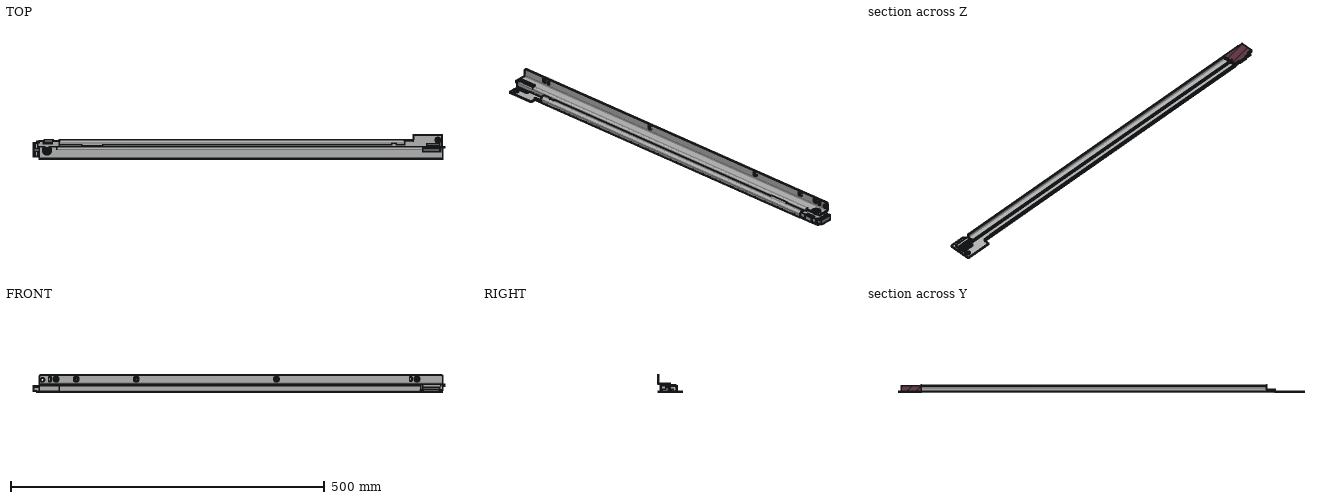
import cadquery as cq

length = 656.5
depth = 39.5
height = 27.5
sheet = 2.0

rail_start = 9.0
rail_end = 654.0
flange_bend = 2.5
flange_corner = 3.0
deck_top = 14.5
deck_bottom = deck_top - sheet
deck_width = 20.5
leg_start = 37.5
leg_bottom = 3.0
leg_bend = 4.0
leg_inner_face = deck_width - sheet
end_nub_bottom = 10.0

hole_height = 21.0
screw_hole_places = (36.0, 68.0, 164.0, 388.0, 612.5)
screw_hole_diameter = 4.0
countersink_diameter = 8.5
end_hole_place = 14.5
end_hole_height = 20.0
end_hole_diameter = 6.0
slot_width = 3.0
slots = ((26.0, 8.0), (603.0, 6.5))
boss_x = 21.5
boss_y = 14.5
boss_hole_diameter = 14.0
window_start = 622.0
window_end = 651.0
window_front = 12.5

channel_front = 4.0
channel_back = 31.5
channel_start = 41.5
channel_end = 618.5
channel_bend = 2.5
front_wall_top = 10.5
lip_top = 12.0
lip_bend = 4.5
lip_edge = 23.5
back_wall_end = 593.0
low_wall_top = 4.5
lip_tab_start = 77.0
lip_tab_end = 111.0
lip_tab_edge = 21.5
lip_notch_start = 572.0
lip_notch_end = 579.0
lip_notch_depth = 2.0
tongue_start = 5.0
foot_front = 0.5
foot_corner = 6.5
tab_start = 607.0
tab_end = 653.0
tab_hole_x = 646.0
tab_hole_y = 31.0
lug_back = 17.0
lug_steps = ((7.0, 4.5), (13.0, 8.0))
lug_end = 649.0
rear_lug_start = 628.5
rear_lug_front = 21.5
rear_lug_back = 25.0

stop_top = 10.5
stop_back = 29.5
nose_length = 9.0
nose_front = 4.5
nose_back = 26.0
groove_start = 3.0
groove_width = 3.0
groove_depth = 2.5
groove_rib = 4.0
back_pad_start = 17.0
back_pad_end = 31.5
pocket_start = 16.0
pocket_end = 30.0
pocket_front = 25.0
pocket_back = 27.5
pocket_depth = 2.5
boss_diameter = 9.0
boss_bore_diameter = 4.0


def box(x0, x1, y0, y1, z0, z1):
    """Block between two opposite corners."""
    return cq.Workplane("XY").box(x1 - x0, y1 - y0, z1 - z0, centered=False).translate((x0, y0, z0))


def post(x, y, diameter, z0, z1):
    """Upright round post."""
    return cq.Workplane("XY", origin=(x, y, z0)).circle(diameter / 2).extrude(z1 - z0)


def countersunk_hole(inner_face, outward):
    """Conical hole through one sheet, widening from its inner face to its outer face."""
    cone = cq.Solid.makeCone(
        screw_hole_diameter / 2, countersink_diameter / 2, sheet, cq.Vector(inner_face), cq.Vector(outward)
    )
    return cq.Workplane(cone)


def make_flange_and_deck():
    angle = box(rail_start, rail_end, 0, deck_width, deck_bottom, height)
    angle = angle.edges("|X and <Y and <Z").fillet(flange_bend)
    inside = box(rail_start, rail_end, sheet, deck_width, deck_top, height)
    inside = inside.edges("|X and <Y and <Z").fillet(flange_bend - sheet)
    return angle.cut(inside).edges("|Y and >Z").fillet(flange_corner)


def make_leg():
    root = deck_width - 2 * leg_bend
    leg = box(leg_start, rail_end, root, deck_width, leg_bottom, deck_top)
    leg = leg.edges("|X and >Y and >Z").fillet(leg_bend)
    inside = box(leg_start, rail_end, root, leg_inner_face, leg_bottom, deck_bottom)
    inside = inside.edges("|X and >Y and >Z").fillet(leg_bend - sheet)
    end_nub = box(rail_end, length, leg_inner_face, deck_width, end_nub_bottom, deck_bottom)
    return leg.cut(inside).union(end_nub)


def cut_flange_openings(rail):
    def flange_plane(x, z):
        return cq.Workplane("XZ", origin=(x, sheet, z))

    rail = rail.cut(flange_plane(end_hole_place, end_hole_height).circle(end_hole_diameter / 2).extrude(sheet))
    for x, slot_length in slots:
        rail = rail.cut(flange_plane(x, hole_height).slot2D(slot_length, slot_width, 90).extrude(sheet))
    for x in screw_hole_places:
        rail = rail.cut(countersunk_hole((x, sheet, hole_height), (0, -1, 0)))
    return rail


def make_fixing_rail():
    square_edge = box(leg_start, rail_end, deck_width - leg_bend, deck_width, deck_bottom, deck_top)
    rail = make_flange_and_deck().cut(square_edge).union(make_leg())
    boss_hole = post(boss_x, boss_y, boss_hole_diameter, deck_bottom, deck_top)
    window = box(window_start, window_end, window_front, leg_inner_face, leg_bottom, deck_top)
    return cut_flange_openings(rail.cut(boss_hole).cut(window))


def make_channel():
    channel = box(channel_start, channel_end, channel_front, channel_back, 0, lip_top)
    channel = channel.edges("|X and <Z").fillet(channel_bend)
    channel = channel.edges("|X and >Y and >Z").fillet(lip_bend)

    inner_front = channel_front + sheet
    inner_back = channel_back - sheet
    lip_bottom = lip_top - sheet
    hollow = box(channel_start, channel_end, inner_front, inner_back, sheet, lip_bottom)
    hollow = hollow.edges("|X and <Z").fillet(channel_bend - sheet)
    hollow = hollow.edges("|X and >Y and >Z").fillet(lip_bend - sheet)

    mouth = box(channel_start, channel_end, inner_front, lip_edge, lip_bottom, lip_top)
    above_front_wall = box(channel_start, channel_end, channel_front, inner_front, front_wall_top, lip_top)
    channel = channel.cut(hollow).cut(mouth).cut(above_front_wall)

    channel = channel.cut(box(back_wall_end, tab_start, lip_edge, channel_back, low_wall_top, lip_top))
    channel = channel.cut(box(tab_start, channel_end, lip_edge, channel_back, sheet, lip_top))

    notch = box(lip_notch_start, lip_notch_end, lip_edge, lip_edge + lip_notch_depth, lip_bottom, lip_top)
    lip_tab = box(lip_tab_start, lip_tab_end, lip_tab_edge, lip_edge, lip_bottom, lip_top)
    return channel.cut(notch).union(lip_tab)


def make_foot():
    foot = box(channel_end, tab_end, foot_front, channel_back, 0, sheet)
    foot = foot.edges("|Z and <Y and <X").chamfer(foot_corner)
    for step_front, step_top in lug_steps:
        foot = foot.union(box(window_start, lug_end, step_front, lug_back, 0, step_top))
    rear_lug_top = lug_steps[0][1]
    foot = foot.union(box(rear_lug_start, lug_end, rear_lug_front, rear_lug_back, 0, rear_lug_top))
    tab = box(tab_start, tab_end, lip_edge, depth, 0, sheet)
    tab_hole = countersunk_hole((tab_hole_x, tab_hole_y, 0), (0, 0, 1))
    return foot.union(tab).cut(tab_hole)


def make_running_rail():
    flat_front = channel_front + channel_bend
    flat_back = channel_back - channel_bend
    tongue = box(tongue_start, channel_start, flat_front, flat_back, 0, sheet)
    return make_channel().union(tongue).union(make_foot())


def make_end_stop():
    body = box(nose_length, channel_start, channel_front, stop_back, sheet, stop_top)
    back_pad = box(back_pad_start, back_pad_end, stop_back, channel_back, sheet, stop_top)
    nose = box(0, nose_length, nose_front, nose_back, sheet, stop_top)
    stop = body.union(back_pad).union(nose)

    groove_end = groove_start + groove_width
    groove_floor = stop_top - groove_depth
    nose_middle = (nose_front + nose_back) / 2
    rib_front = nose_middle - groove_rib / 2
    for y0, y1 in ((nose_front, rib_front), (rib_front + groove_rib, nose_back)):
        stop = stop.cut(box(groove_start, groove_end, y0, y1, groove_floor, stop_top))

    pocket = box(pocket_start, pocket_end, pocket_front, pocket_back, stop_top - pocket_depth, stop_top)
    leg_slot = box(leg_start, channel_start, leg_inner_face, deck_width, leg_bottom, stop_top)
    boss = post(boss_x, boss_y, boss_diameter, stop_top, deck_top)
    bore = post(boss_x, boss_y, boss_bore_diameter, stop_top, deck_top)
    return stop.cut(pocket).cut(leg_slot).union(boss).cut(bore)


fixing_rail = make_fixing_rail()
running_rail = make_running_rail()
end_stop = make_end_stop()

result = cq.Compound.makeCompound([fixing_rail.val(), running_rail.val(), end_stop.val()])